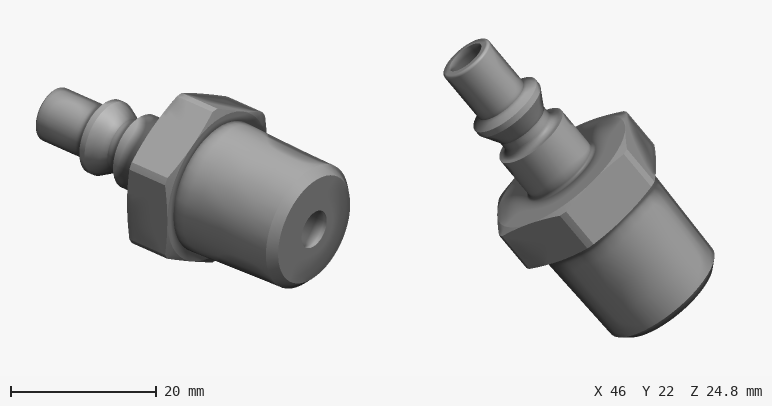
import cadquery as cq
import math

total_length = 46.0
tip_round = 0.4
tube_end = 8.2
collar_start = 9.05
collar_end = 10.0
neck_start = 12.8
shoulder_start = 15.0
hex_start = 21.9
hex_width = 7.1
hex_end = hex_start + hex_width
thread_chamfer = 1.2

bore_diameter = 5.5
tube_diameter = 7.9
neck_diameter = 7.8
collar_diameter = 10.9
shoulder_fillet = 0.45
neck_fillet = 0.95
thread_base_diameter = 19.25
thread_taper = 1 / 16

across_flats = 22.0
across_corners = 24.8
hex_chamfer_angle = 16.0
hex_sides = 6
half_side_angle = 180 / hex_sides


def turned_body():
    """Solid of revolution about X: plug, neck, shoulder and tapered thread."""
    tube_r = tube_diameter / 2
    collar_r = collar_diameter / 2
    neck_r = neck_diameter / 2
    base_r = thread_base_diameter / 2
    chamfer_x = total_length - thread_chamfer
    chamfer_r = base_r - thread_taper / 2 * (chamfer_x - hex_end)
    diagonal = math.sqrt(0.5)
    fillet_sag = 1 - diagonal
    neck_end = shoulder_start - neck_fillet
    fillet_start = hex_start - shoulder_fillet
    profile = (
        cq.Workplane("XY")
        .lineTo(0, tube_r - tip_round)
        .threePointArc(
            (tip_round * fillet_sag, tube_r - tip_round * fillet_sag),
            (tip_round, tube_r),
        )
        .lineTo(tube_end, tube_r)
        .lineTo(collar_start, collar_r)
        .lineTo(collar_end, collar_r)
        .lineTo(neck_start, neck_r)
        .lineTo(neck_end, neck_r)
        .threePointArc(
            (neck_end + neck_fillet * diagonal, neck_r + neck_fillet * fillet_sag),
            (shoulder_start, neck_r + neck_fillet),
        )
        .lineTo(shoulder_start, collar_r)
        .lineTo(fillet_start, collar_r)
        .threePointArc(
            (fillet_start + shoulder_fillet * diagonal, collar_r + shoulder_fillet * fillet_sag),
            (hex_start, collar_r + shoulder_fillet),
        )
        .lineTo(hex_end, collar_r + shoulder_fillet)
        .lineTo(hex_end, base_r)
        .lineTo(chamfer_x, chamfer_r)
        .lineTo(total_length, chamfer_r - thread_chamfer)
        .lineTo(total_length, 0)
        .close()
    )
    return profile.revolve(360, (0, 0, 0), (1, 0, 0))


def hexagon():
    """Hexagon with corners up and down, turned-down corners and chamfered end faces."""
    sharp_corners = across_flats / math.cos(math.radians(half_side_angle))
    prism = cq.Workplane("YZ", origin=(hex_start, 0, 0)).transformed(rotate=(0, 0, half_side_angle))
    prism = prism.polygon(hex_sides, sharp_corners).extrude(hex_width)
    flat_r = across_flats / 2
    rim_r = across_corners / 2
    rim_drop = (rim_r - flat_r) * math.tan(math.radians(hex_chamfer_angle))
    envelope = (
        cq.Workplane("XY")
        .moveTo(hex_start, 0)
        .lineTo(hex_start, flat_r)
        .lineTo(hex_start + rim_drop, rim_r)
        .lineTo(hex_end - rim_drop, rim_r)
        .lineTo(hex_end, flat_r)
        .lineTo(hex_end, 0)
        .close()
        .revolve(360, (0, 0, 0), (1, 0, 0))
    )
    return prism.intersect(envelope)


def through_bore():
    """Straight bore along the whole length."""
    return cq.Workplane("YZ").circle(bore_diameter / 2).extrude(total_length)


result = turned_body().union(hexagon()).cut(through_bore())